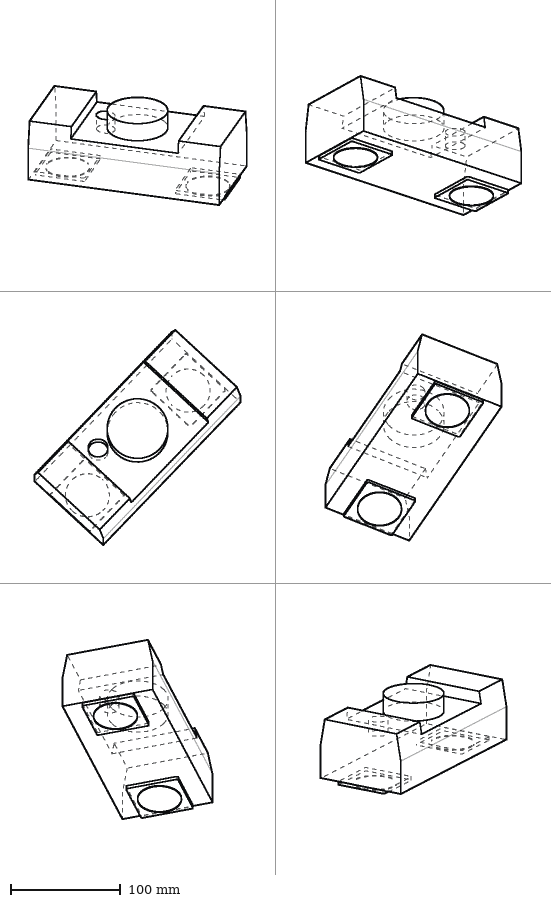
import cadquery as cq

length = 182.0
base_width = 86.0
top_width = 77.2
shoulder_height = 32.0
body_height = 57.1

recess_length = 102.1
recess_floor = 45.7
boss_diameter = 55.3
hole_width = 16.2
hole_straight = 1.8
hole_angle = -45.0
hole_x = -35.3
hole_y = 16.0
hole_floor = shoulder_height

foot_length = 47.3
foot_width = 49.5
foot_thickness = 3.3
foot_corner_radius = 1.3
foot_offset = 66.8
pad_diameter = 40.0
pad_thickness = 0.7

overall_height = 67.0
boss_top = overall_height - foot_thickness - pad_thickness


def make_body():
    """Extrude the end profile along X, with its underside at Z = 0."""
    profile = [
        (-base_width / 2, 0),
        (base_width / 2, 0),
        (base_width / 2, shoulder_height),
        (top_width / 2, body_height),
        (-top_width / 2, body_height),
        (-base_width / 2, shoulder_height),
    ]
    return cq.Workplane("YZ").polyline(profile).close().extrude(length / 2, both=True)


def make_recess():
    recess_depth = body_height - recess_floor
    return (
        cq.Workplane("XY", origin=(0, 0, recess_floor))
        .rect(recess_length, base_width)
        .extrude(recess_depth)
    )


def make_boss():
    return (
        cq.Workplane("XY", origin=(0, 0, recess_floor))
        .circle(boss_diameter / 2)
        .extrude(boss_top - recess_floor)
    )


def make_hole():
    return (
        cq.Workplane("XY", origin=(hole_x, hole_y, hole_floor))
        .slot2D(hole_straight + hole_width, hole_width, hole_angle)
        .extrude(recess_floor - hole_floor)
    )


def make_foot(center_x):
    plate = (
        cq.Workplane("XY", origin=(center_x, 0, 0))
        .rect(foot_length, foot_width)
        .extrude(-foot_thickness)
        .edges("|Z")
        .fillet(foot_corner_radius)
    )
    pad = (
        cq.Workplane("XY", origin=(center_x, 0, -foot_thickness))
        .circle(pad_diameter / 2)
        .extrude(-pad_thickness)
    )
    return plate.union(pad)


result = make_body().cut(make_recess()).union(make_boss()).cut(make_hole())
for side in (-1, 1):
    result = result.union(make_foot(side * foot_offset))